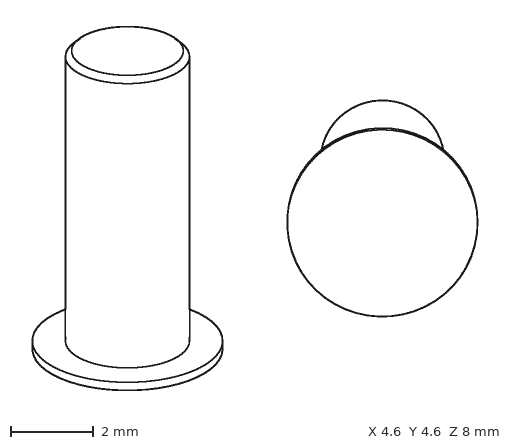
import cadquery as cq

total_height = 8.0
flange_diameter = 4.6
flange_thickness = 0.22
pin_diameter = 3.0
tip_chamfer = 0.15


def make_flange():
    """Thin round flange resting on Z = 0."""
    return cq.Workplane("XY").circle(flange_diameter / 2).extrude(flange_thickness)


def make_pin():
    """Solid pin along Z with a chamfered top edge."""
    pin = cq.Workplane("XY").circle(pin_diameter / 2).extrude(total_height)
    return pin.faces(">Z").edges().chamfer(tip_chamfer)


result = make_flange().union(make_pin())